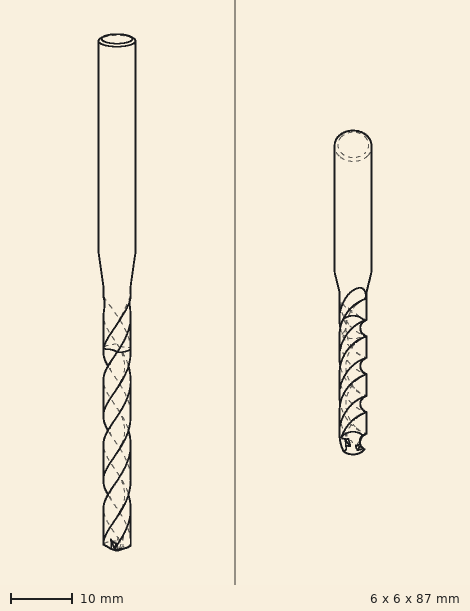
import cadquery as cq
import math

TOTAL_LENGTH = 87.0
POINT_HEIGHT = 1.05
HEAD_LENGTH = 34.45
FLUTE_END = 40.7
NECK_TOP = 45.0
TAPER_TOP = 50.7

SHANK_RADIUS = 6.0 / 2
DRILL_RADIUS = 4.4 / 2
CHAMFER_WIDTH = 0.5
CHAMFER_HEIGHT = 0.35

FLUTE_COUNT = 2
FLUTE_LEAD = 21.8
FLUTE_RADIUS = 2.1
FLUTE_DEPTH = 1.05
FLUTE_OFFSET = DRILL_RADIUS - FLUTE_DEPTH + FLUTE_RADIUS
FLUTE_END_ANGLE = 221.0
RUNOUT_TILT = 0.15
RUNOUT_SLOPE = 0.9
OVERRUN = 0.9
RUNOUT_HEIGHT = 4.35

GASH_START_RADIUS = 0.35
GASH_END_RADIUS = 1.3
GASH_HEIGHT = 2.3
GASH_WIDTH = 1.1


def make_head_blank():
    """Cylindrical head with a conical point."""
    return (
        cq.Workplane("XZ")
        .moveTo(0, 0)
        .lineTo(DRILL_RADIUS, POINT_HEIGHT)
        .lineTo(DRILL_RADIUS, HEAD_LENGTH)
        .lineTo(0, HEAD_LENGTH)
        .close()
        .revolve(360, (0, 0, 0), (0, 1, 0))
    )


def make_shank_blank():
    """Neck, taper and chamfered clamping shank."""
    return (
        cq.Workplane("XZ")
        .moveTo(0, HEAD_LENGTH)
        .lineTo(DRILL_RADIUS, HEAD_LENGTH)
        .lineTo(DRILL_RADIUS, NECK_TOP)
        .lineTo(SHANK_RADIUS, TAPER_TOP)
        .lineTo(SHANK_RADIUS, TOTAL_LENGTH - CHAMFER_HEIGHT)
        .lineTo(SHANK_RADIUS - CHAMFER_WIDTH, TOTAL_LENGTH)
        .lineTo(0, TOTAL_LENGTH)
        .close()
        .revolve(360, (0, 0, 0), (0, 1, 0))
    )


def flute_direction(height, flute_angle):
    """Direction of a flute at a height, in degrees from +X."""
    return flute_angle + 360 * (height - FLUTE_END) / FLUTE_LEAD


def groove_section(height, flute_angle):
    """Round section of a flute at a height on its helix."""
    direction = math.radians(flute_direction(height, flute_angle))
    return (
        cq.Workplane("XY", origin=(0, 0, height))
        .center(FLUTE_OFFSET * math.cos(direction), FLUTE_OFFSET * math.sin(direction))
        .circle(FLUTE_RADIUS)
        .wires()
        .val()
    )


def make_helical_groove(bottom, top, flute_angle):
    """Twisted groove between two heights; flute_angle is its direction at FLUTE_END."""
    length = top - bottom
    twist = 360 * length / FLUTE_LEAD
    section = groove_section(bottom, flute_angle)
    return cq.Workplane(
        cq.Solid.extrudeLinearWithRotation(
            section, [], cq.Vector(0, 0, bottom), cq.Vector(0, 0, length), twist
        )
    )


def make_runout(flute_angle):
    """Straight groove that continues sideways and tilts outward until it leaves the neck."""
    direction = math.radians(flute_angle)
    sideways = RUNOUT_HEIGHT * RUNOUT_SLOPE
    outward = RUNOUT_HEIGHT * RUNOUT_TILT
    path = cq.Vector(
        outward * math.cos(direction) - sideways * math.sin(direction),
        outward * math.sin(direction) + sideways * math.cos(direction),
        RUNOUT_HEIGHT,
    )
    section = groove_section(FLUTE_END, flute_angle)
    return cq.Workplane(cq.Solid.extrudeLinear(section, [], path))


def make_gash(flute_angle):
    """Wedge along one side of a flute, with a floor that slopes toward the tip."""
    return (
        cq.Workplane("XZ")
        .moveTo(GASH_START_RADIUS, 0)
        .lineTo(GASH_END_RADIUS, GASH_HEIGHT)
        .lineTo(DRILL_RADIUS, GASH_HEIGHT)
        .lineTo(DRILL_RADIUS, 0)
        .close()
        .extrude(-GASH_WIDTH)
        .rotate((0, 0, 0), (0, 0, 1), flute_direction(POINT_HEIGHT, flute_angle))
    )


head = make_head_blank()
shank = make_shank_blank()
for index in range(FLUTE_COUNT):
    angle = FLUTE_END_ANGLE + index * 360 / FLUTE_COUNT
    head = head.cut(make_helical_groove(-OVERRUN, HEAD_LENGTH + OVERRUN, angle))
    head = head.cut(make_gash(angle))
    shank = shank.cut(make_helical_groove(HEAD_LENGTH - OVERRUN, FLUTE_END, angle))
    shank = shank.cut(make_runout(angle))

result = cq.Compound.makeCompound([head.val(), shank.val()])